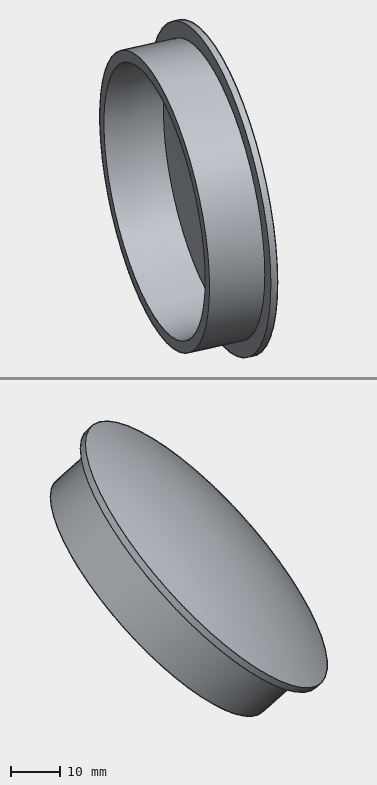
import cadquery as cq
import math

flange_diameter = 70.0
flange_thickness = 1.5
skirt_diameter = 63.0
skirt_length = 12.0
dome_height = 5.5

mouth_diameter = 58.0
cavity_end_diameter = 57.2
crown_thickness = 2.5

flange_y = 0.0
mouth_y = flange_y - skirt_length
dome_base_y = flange_y + flange_thickness
crown_y = dome_base_y + dome_height

flange_radius = flange_diameter / 2
dome_radius = (flange_radius**2 + dome_height**2) / (2 * dome_height)
dome_center_y = crown_y - dome_radius
cavity_dome_radius = dome_radius - crown_thickness


def point_on_sphere(sphere_radius, distance_from_axis):
    """Profile point on a sphere about the dome center."""
    height = math.sqrt(sphere_radius**2 - distance_from_axis**2)
    return (distance_from_axis, dome_center_y + height)


def make_cap():
    """Revolve the closed half section of dome, flange, skirt and cavity."""
    cavity_end_radius = cavity_end_diameter / 2
    profile = (
        cq.Workplane("XY")
        .moveTo(0, crown_y)
        .threePointArc(
            point_on_sphere(dome_radius, flange_radius / 2),
            (flange_radius, dome_base_y),
        )
        .lineTo(flange_radius, flange_y)
        .lineTo(skirt_diameter / 2, flange_y)
        .lineTo(skirt_diameter / 2, mouth_y)
        .lineTo(mouth_diameter / 2, mouth_y)
        .lineTo(*point_on_sphere(cavity_dome_radius, cavity_end_radius))
        .threePointArc(
            point_on_sphere(cavity_dome_radius, cavity_end_radius / 2),
            (0, dome_center_y + cavity_dome_radius),
        )
        .close()
    )
    return profile.revolve(360, (0, 0, 0), (0, 1, 0))


result = make_cap()